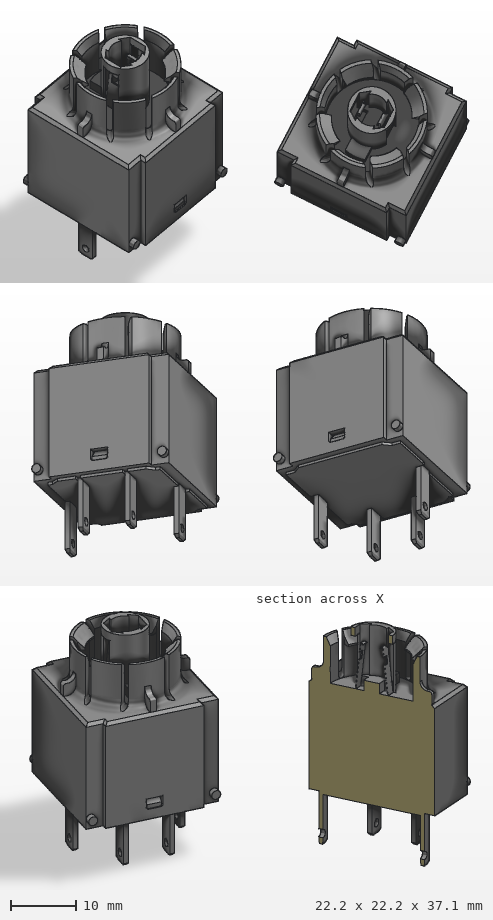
import cadquery as cq
import math

BODY_SIZE = 22.2
BODY_HALF = BODY_SIZE / 2
BODY_HEIGHT = 18.3
BODY_CHAMFER = 0.5
NOTCH_DEPTH = 0.95
NOTCH_START_Y = 8.25
END_HALF_X = BODY_HALF - NOTCH_DEPTH

PEG_DIAMETER = 1.5
PEG_Y = 10.33
PEG_Z = 1.72

WINDOW_WIDTH = 2.8
WINDOW_BOTTOM = 1.75
WINDOW_TOP = 3.6
WINDOW_DEPTH = 1.2
WINDOW_CHAMFER = 0.28
LATCH_WIDTH = 2.45
LATCH_SHOULDER_Z = 2.45
LATCH_SETBACK = 0.22

PLATE_THICKNESS = 0.46
PLATE_HALF = 10.0
PLATE_END_HALF_Y = 7.3
PLATE_NECK_HALF_X = 9.0
PLATE_NECK_HALF_Y = 8.5
PLATE_RELIEF_HALF_Y = 9.25

TAB_WIDTH = 2.8
TAB_THICKNESS = 0.82
TAB_ROOT_Z = 2.0
TAB_TIP_HEIGHT = 0.5
TAB_TIP_INSET = 0.55
TAB_TIP_THIN = 0.16
TAB_HOLE_DIAMETER = 1.3
TAB_HOLE_TO_TIP = 1.8
TOTAL_HEIGHT = 37.11
POST_TOP = 28.4
LONG_TAB_TIP_Z = POST_TOP - TOTAL_HEIGHT
SHORT_TAB_TIP_Z = LONG_TAB_TIP_Z + 0.13
CENTRE_TAB_Y = 8.97
SIDE_TAB_X = -7.6
SIDE_TAB_Y = 3.87

COLLAR_RADIUS = 8.55
COLLAR_INNER_RADIUS = 7.28
COLLAR_LIP_RADIUS = 8.0
COLLAR_TOP = 25.87
LIP_DEPTH = 1.4
FLARE_RADIUS = 1.5
SLOT_WIDTH = 1.0
SLOT_SILL = 0.03
GROOVE_AXIS_Z = BODY_HEIGHT + SLOT_SILL + SLOT_WIDTH / 2
SLOT_OFFSET = 3.0
TOOTH_RADIUS = 6.2
TOOTH_LAND = 0.3
TOOTH_HALF_ANGLE = 20.0
DIAGONALS = (45, 135, 225, 315)

RIB_WIDTH = 1.08
RIB_RADIUS = 10.63
RIB_TOP = 20.47
RIB_FILLET = 1.3
RIB_ROUND = 0.45
RIB_INNER_RADIUS = COLLAR_RADIUS - 0.4

POST_DIAMETER = 7.4
BORE_RADIUS = 2.5
BORE_FLOOR_Z = BODY_HEIGHT + 1.7
POCKET_HALF_WIDTH = 1.42
POCKET_INNER_Y = 1.4
POCKET_OUTER_Y = 2.93
DOVETAIL_OUTER_HALF_WIDTH = 1.55
DOVETAIL_INNER_HALF_WIDTH = 2.6
DOVETAIL_Y = 1.5
POST_WINDOW_WIDTH = 3.1
POST_WINDOW_TOP = 26.92

KEY_OUTER_RADIUS = 5.85
KEY_WIDTH = 3.4
KEY_TOP = BODY_HEIGHT + 1.6

CONTACT_THICKNESS = 0.2
CONTACT_FOOT_Y = 2.93
CONTACT_BEND_Y = 2.08
CONTACT_LIP_Y = 1.46
CONTACT_SHOULDER_Z = 25.6
CONTACT_TIP_Z = 26.1
CONTACT_TIP_HALF_WIDTH = 0.85
CONTACT_HOLE_WIDTH = 1.56
CONTACT_HOLE_BOTTOM = 23.2
CONTACT_HOLE_TOP = 24.5


def box(x_min, x_max, y_min, y_max, z_min, z_max):
    """Axis-aligned block between the given limits."""
    size = (x_max - x_min, y_max - y_min, z_max - z_min)
    return cq.Workplane("XY").box(*size, centered=False).translate((x_min, y_min, z_min))


def rotated(shape, angle):
    """Copy of a shape turned about the Z axis."""
    return shape.rotate((0, 0, 0), (0, 0, 1), angle)


def make_latch_window():
    """Return the pocket cut into the -X side and the latch wedge filling part of it."""
    outer_x = -BODY_HALF
    inner_x = outer_x + WINDOW_DEPTH
    half = WINDOW_WIDTH / 2
    window = box(outer_x, inner_x, -half, half, WINDOW_BOTTOM, WINDOW_TOP)
    window = window.edges("|X and <Z").chamfer(WINDOW_CHAMFER)
    face_x = outer_x + LATCH_SETBACK
    latch = (
        cq.Workplane("XZ", origin=(0, LATCH_WIDTH / 2, 0))
        .moveTo(inner_x, WINDOW_BOTTOM)
        .lineTo(face_x, WINDOW_BOTTOM)
        .lineTo(face_x, LATCH_SHOULDER_Z)
        .lineTo(inner_x, WINDOW_TOP)
        .close()
        .extrude(LATCH_WIDTH)
    )
    return window, latch.intersect(window)


def make_body():
    """Housing block with chamfered top rim, corner pegs and latch windows."""
    body = box(-END_HALF_X, END_HALF_X, -BODY_HALF, BODY_HALF, 0, BODY_HEIGHT)
    body = body.union(box(-BODY_HALF, BODY_HALF, -NOTCH_START_Y, NOTCH_START_Y, 0, BODY_HEIGHT))
    body = body.faces(">Z").chamfer(BODY_CHAMFER)
    for peg_y in (-PEG_Y, PEG_Y):
        peg = cq.Workplane("YZ", origin=(-BODY_HALF, peg_y, PEG_Z)).circle(PEG_DIAMETER / 2)
        body = body.union(peg.extrude(BODY_SIZE))
    window, latch = make_latch_window()
    for angle in (0, 180):
        body = body.cut(rotated(window, angle)).union(rotated(latch, angle))
    return body


def make_plate():
    """Base plate with tapered ends, relieved beside the centre terminals."""
    plate = box(-PLATE_NECK_HALF_X, PLATE_NECK_HALF_X, -PLATE_HALF, PLATE_HALF, -PLATE_THICKNESS, 0)
    end_outline = [
        (PLATE_HALF, PLATE_END_HALF_Y),
        (PLATE_NECK_HALF_X, PLATE_NECK_HALF_Y),
        (-PLATE_NECK_HALF_X, PLATE_NECK_HALF_Y),
        (-PLATE_HALF, PLATE_END_HALF_Y),
        (-PLATE_HALF, -PLATE_END_HALF_Y),
        (-PLATE_NECK_HALF_X, -PLATE_NECK_HALF_Y),
        (PLATE_NECK_HALF_X, -PLATE_NECK_HALF_Y),
        (PLATE_HALF, -PLATE_END_HALF_Y),
    ]
    plate = plate.union(cq.Workplane("XY").polyline(end_outline).close().extrude(-PLATE_THICKNESS))
    relief = box(
        -PLATE_HALF, TAB_WIDTH / 2, PLATE_RELIEF_HALF_Y, PLATE_HALF, -PLATE_THICKNESS, 0
    )
    tab_notch = box(
        -PLATE_HALF,
        SIDE_TAB_X,
        SIDE_TAB_Y - TAB_THICKNESS / 2,
        SIDE_TAB_Y + TAB_THICKNESS / 2,
        -PLATE_THICKNESS,
        0,
    )
    for cutter in (relief, tab_notch):
        plate = plate.cut(cutter).cut(cutter.mirror("XZ"))
    return plate


def make_tab(x, y, tip_z):
    """Flat terminal with a tip tapered on all four sides and a cross hole."""
    shoulder_z = tip_z + TAB_TIP_HEIGHT
    half = TAB_WIDTH / 2
    half_thick = TAB_THICKNESS / 2
    blade = box(x - half, x + half, y - half_thick, y + half_thick, shoulder_z, TAB_ROOT_Z)
    tip = (
        cq.Workplane("XY", origin=(x, y, shoulder_z))
        .rect(TAB_WIDTH, TAB_THICKNESS)
        .workplane(offset=-TAB_TIP_HEIGHT)
        .rect(TAB_WIDTH - 2 * TAB_TIP_INSET, TAB_THICKNESS - 2 * TAB_TIP_THIN)
        .loft(ruled=True)
    )
    hole = (
        cq.Workplane("XZ", origin=(x, y + half_thick, tip_z + TAB_HOLE_TO_TIP))
        .circle(TAB_HOLE_DIAMETER / 2)
        .extrude(TAB_THICKNESS)
    )
    return blade.union(tip).cut(hole)


def make_collar_wall():
    """Flared ring with an inner lip, split by slots parallel to the diagonals."""
    flare_top = BODY_HEIGHT + FLARE_RADIUS
    flare_outer = COLLAR_RADIUS + FLARE_RADIUS
    flare_middle = FLARE_RADIUS * (1 - math.sqrt(0.5))
    wall = (
        cq.Workplane("XZ")
        .moveTo(COLLAR_INNER_RADIUS, BODY_HEIGHT)
        .lineTo(flare_outer, BODY_HEIGHT)
        .threePointArc(
            (COLLAR_RADIUS + flare_middle, BODY_HEIGHT + flare_middle),
            (COLLAR_RADIUS, flare_top),
        )
        .lineTo(COLLAR_RADIUS, COLLAR_TOP)
        .lineTo(COLLAR_LIP_RADIUS, COLLAR_TOP)
        .lineTo(COLLAR_INNER_RADIUS, COLLAR_TOP - LIP_DEPTH)
        .close()
        .revolve(360, (0, 0, 0), (0, 1, 0))
    )
    half = SLOT_WIDTH / 2
    for offset in (-SLOT_OFFSET, SLOT_OFFSET):
        slot = box(0, flare_outer, offset - half, offset + half, GROOVE_AXIS_Z, COLLAR_TOP)
        groove_plane = cq.Workplane("YZ", origin=(0, offset, GROOVE_AXIS_Z))
        groove = groove_plane.circle(half).extrude(flare_outer)
        for angle in DIAGONALS:
            wall = wall.cut(rotated(slot.union(groove), angle))
    return wall


def make_tooth():
    """Inward snap tooth with a 45 degree lead-in, centred on the +X axis."""
    reach = COLLAR_LIP_RADIUS - TOOTH_RADIUS
    ring = (
        cq.Workplane("XZ")
        .moveTo(COLLAR_LIP_RADIUS, COLLAR_TOP)
        .lineTo(TOOTH_RADIUS, COLLAR_TOP - reach)
        .lineTo(TOOTH_RADIUS, COLLAR_TOP - reach - TOOTH_LAND)
        .lineTo(COLLAR_LIP_RADIUS, COLLAR_TOP - reach - TOOTH_LAND)
        .close()
        .revolve(360, (0, 0, 0), (0, 1, 0))
    )
    half_segment = SLOT_OFFSET - SLOT_WIDTH / 2
    sector_end = half_segment / math.tan(math.radians(TOOTH_HALF_ANGLE))
    sector_outline = [
        (0, 0),
        (sector_end, -half_segment),
        (COLLAR_RADIUS, -half_segment),
        (COLLAR_RADIUS, half_segment),
        (sector_end, half_segment),
    ]
    sector = cq.Workplane("XY").polyline(sector_outline).close().extrude(COLLAR_TOP)
    return ring.intersect(sector)


def make_rib():
    """Rib on the +X side, blended into the collar by a concave curve."""
    arc_middle = RIB_FILLET * (1 - math.sqrt(0.5))
    return (
        cq.Workplane("XZ", origin=(0, RIB_WIDTH / 2, 0))
        .moveTo(RIB_INNER_RADIUS, BODY_HEIGHT)
        .lineTo(RIB_RADIUS, BODY_HEIGHT)
        .lineTo(RIB_RADIUS, RIB_TOP - RIB_ROUND)
        .radiusArc((RIB_RADIUS - RIB_ROUND, RIB_TOP), -RIB_ROUND)
        .lineTo(COLLAR_RADIUS + RIB_FILLET, RIB_TOP)
        .threePointArc(
            (COLLAR_RADIUS + arc_middle, RIB_TOP + arc_middle),
            (COLLAR_RADIUS, RIB_TOP + RIB_FILLET),
        )
        .lineTo(RIB_INNER_RADIUS, RIB_TOP + RIB_FILLET)
        .close()
        .extrude(RIB_WIDTH)
    )


def make_collar():
    """Collar wall with its snap teeth and ribs."""
    collar = make_collar_wall()
    for angle in DIAGONALS:
        collar = collar.union(rotated(make_tooth(), angle))
        collar = collar.union(rotated(make_rib(), angle - DIAGONALS[0]))
    return collar


def make_contact():
    """Leaning spring contact on the +Y side, with a curled tip and an opening."""
    bend_middle_y = (CONTACT_BEND_Y + CONTACT_LIP_Y) / 2
    bend_z = CONTACT_TIP_Z - (CONTACT_BEND_Y - CONTACT_LIP_Y) / 2
    blade = (
        cq.Workplane("YZ", origin=(-POCKET_HALF_WIDTH, 0, 0))
        .moveTo(CONTACT_FOOT_Y, BODY_HEIGHT)
        .lineTo(CONTACT_BEND_Y, bend_z)
        .threePointArc((bend_middle_y, CONTACT_TIP_Z), (CONTACT_LIP_Y, bend_z))
        .lineTo(CONTACT_LIP_Y + CONTACT_THICKNESS, bend_z)
        .threePointArc(
            (bend_middle_y, CONTACT_TIP_Z - CONTACT_THICKNESS),
            (CONTACT_BEND_Y - CONTACT_THICKNESS, bend_z),
        )
        .lineTo(CONTACT_FOOT_Y - CONTACT_THICKNESS, BODY_HEIGHT)
        .close()
        .extrude(2 * POCKET_HALF_WIDTH)
    )
    outline = [
        (-POCKET_HALF_WIDTH, BODY_HEIGHT),
        (POCKET_HALF_WIDTH, BODY_HEIGHT),
        (POCKET_HALF_WIDTH, CONTACT_SHOULDER_Z),
        (CONTACT_TIP_HALF_WIDTH, CONTACT_TIP_Z),
        (-CONTACT_TIP_HALF_WIDTH, CONTACT_TIP_Z),
        (-POCKET_HALF_WIDTH, CONTACT_SHOULDER_Z),
    ]
    silhouette = cq.Workplane("XZ").polyline(outline).close().extrude(-POST_DIAMETER)
    half = CONTACT_HOLE_WIDTH / 2
    opening = box(-half, half, 0, POST_DIAMETER, CONTACT_HOLE_BOTTOM, CONTACT_HOLE_TOP)
    return blade.intersect(silhouette).cut(opening)


def make_post():
    """Tubular post with a dovetailed bore, side windows, key and spring contacts."""
    radius = POST_DIAMETER / 2
    post = cq.Workplane("XY", origin=(0, 0, BODY_HEIGHT)).circle(radius).extrude(POST_TOP - BODY_HEIGHT)
    bore_depth = POST_TOP - BORE_FLOOR_Z
    bore_plane = cq.Workplane("XY", origin=(0, 0, BORE_FLOOR_Z))
    post = post.cut(bore_plane.circle(BORE_RADIUS).extrude(bore_depth))
    dovetail_outline = [
        (-DOVETAIL_OUTER_HALF_WIDTH, POCKET_OUTER_Y),
        (DOVETAIL_OUTER_HALF_WIDTH, POCKET_OUTER_Y),
        (DOVETAIL_INNER_HALF_WIDTH, DOVETAIL_Y),
        (-DOVETAIL_INNER_HALF_WIDTH, DOVETAIL_Y),
    ]
    dovetail = bore_plane.polyline(dovetail_outline).close().extrude(bore_depth)
    pocket = box(
        -POCKET_HALF_WIDTH, POCKET_HALF_WIDTH, POCKET_INNER_Y, POCKET_OUTER_Y, BODY_HEIGHT, POST_TOP
    )
    half_window = POST_WINDOW_WIDTH / 2
    window = box(-half_window, half_window, POCKET_OUTER_Y, radius, BODY_HEIGHT, POST_WINDOW_TOP)
    for angle in (0, 180):
        for cutter in (dovetail, pocket, window):
            post = post.cut(rotated(cutter, angle))
        post = post.union(rotated(make_contact(), angle))
    return post.union(make_key())


def make_key():
    """Raised key on the floor joining the -X side of the post."""
    key = cq.Workplane("XY", origin=(0, 0, BODY_HEIGHT)).circle(KEY_OUTER_RADIUS)
    key = key.circle((POST_DIAMETER / 2 + BORE_RADIUS) / 2)
    key = key.extrude(KEY_TOP - BODY_HEIGHT)
    half = KEY_WIDTH / 2
    return key.intersect(box(-KEY_OUTER_RADIUS, 0, -half, half, BODY_HEIGHT, KEY_TOP))


def make_part():
    """Complete push-button socket."""
    part = make_body().union(make_plate()).union(make_collar()).union(make_post())
    for side in (-1, 1):
        part = part.union(make_tab(0, side * CENTRE_TAB_Y, LONG_TAB_TIP_Z))
        part = part.union(make_tab(SIDE_TAB_X, side * SIDE_TAB_Y, SHORT_TAB_TIP_Z))
    return part


result = make_part()